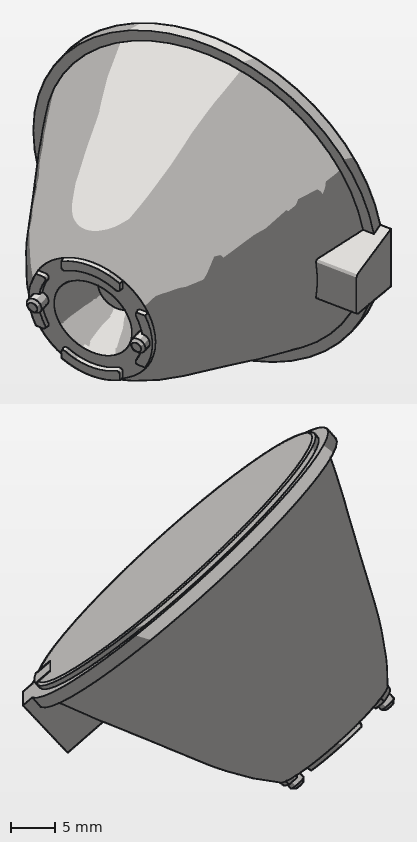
import cadquery as cq
import math


RIM_RADIUS = 22.5
RIM_THICKNESS = 1.5
EXIT_RADIUS = 21.1
EXIT_HEIGHT = 0.74
EXIT_CHAMFER_WIDTH = 0.35
EXIT_CHAMFER_HEIGHT = 0.19
EXIT_Y = RIM_THICKNESS + EXIT_HEIGHT

PAD_WIDTH = 6.0
PAD_LENGTH = 2.4
PAD_HEIGHT = 0.06

REFLECTOR_WALL = [(EXIT_RADIUS, 0.0), (18.3, 6.3), (15.3, 12.55), (12.3, 18.8), (8.2, 24.7)]
SEAT_RADIUS, REFLECTOR_LENGTH = REFLECTOR_WALL[-1]
SEAT_Y = -REFLECTOR_LENGTH

MOUTH_RADIUS = 5.1
COLLAR_RADIUS = 5.0
COLLAR_DEPTH = 0.5
WALL_TOP_RADIUS = 4.75
WALL_TOP_DEPTH = 1.0
WALL_END_RADIUS = 3.1
WALL_END_DEPTH = 4.4
WALL_BULGE = 0.15
WELL_RADIUS = 2.65
WELL_DEPTH = 5.2
LENS_RADIUS = 2.55
LENS_EDGE_DEPTH = 5.4
LENS_CREST_RADIUS = 1.35
LENS_CREST_HEIGHT = 0.6
LENS_DIMPLE_DEPTH = 0.2

FOOT_HEIGHT = 0.55
FOOT_LENGTH = 7.85
FOOT_INNER_RADIUS = 6.7
FOOT_CORNER_RADIUS = 0.45
FOOT_DRAFT = 10.0
FOOT_COUNT = 4

PIN_RADIUS = 0.98
PIN_OFFSET = 6.8
PIN_LENGTH = 1.9
PIN_CHAMFER = 0.35

TAB_END_X = 23.5
TAB_START_X = 14.0
TAB_WIDTH = 8.5
TAB_DEPTH = 7.65
TAB_DRAFT = 10.0
TAB_EDGE_RADIUS = 0.5


def lens_body():
    """Reflector, rim and raised exit face, turned as one profile."""
    wall = [(radius, -distance) for radius, distance in REFLECTOR_WALL]
    return (
        cq.Workplane("XY")
        .moveTo(0, SEAT_Y)
        .lineTo(SEAT_RADIUS, SEAT_Y)
        .spline(wall[-2::-1], includeCurrent=True)
        .lineTo(RIM_RADIUS, 0)
        .lineTo(RIM_RADIUS, RIM_THICKNESS)
        .lineTo(EXIT_RADIUS, RIM_THICKNESS)
        .lineTo(EXIT_RADIUS, EXIT_Y - EXIT_CHAMFER_HEIGHT)
        .lineTo(EXIT_RADIUS - EXIT_CHAMFER_WIDTH, EXIT_Y)
        .lineTo(0, EXIT_Y)
        .close()
        .revolve(360, (0, 0, 0), (0, 1, 0))
    )


def exit_pad():
    """Pad standing slightly above the exit face, with its outer end following the face's edge."""
    height = EXIT_HEIGHT + PAD_HEIGHT
    block = (
        cq.Workplane("XY")
        .box(PAD_LENGTH, height, PAD_WIDTH, centered=(False, False, True))
        .translate((EXIT_RADIUS - PAD_LENGTH, RIM_THICKNESS, 0))
    )
    outline = cq.Workplane("XZ", origin=(0, RIM_THICKNESS, 0)).circle(EXIT_RADIUS).extrude(-height)
    return block.intersect(outline)


def source_cavity():
    """Stepped mouth, curved side wall and the dimpled lens left standing at the bottom."""
    wall_mid = (
        (WALL_TOP_RADIUS + WALL_END_RADIUS) / 2 + WALL_BULGE,
        SEAT_Y + (WALL_TOP_DEPTH + WALL_END_DEPTH) / 2,
    )
    lens_edge_y = SEAT_Y + LENS_EDGE_DEPTH
    crest_y = lens_edge_y - LENS_CREST_HEIGHT
    crest = (LENS_CREST_RADIUS, crest_y)
    dimple = (0, crest_y + LENS_DIMPLE_DEPTH)
    inward_and_forward = (-1, -1)
    inward = (-1, 0)
    return (
        cq.Workplane("XY")
        .moveTo(0, SEAT_Y)
        .lineTo(MOUTH_RADIUS, SEAT_Y)
        .lineTo(COLLAR_RADIUS, SEAT_Y + COLLAR_DEPTH)
        .lineTo(WALL_TOP_RADIUS, SEAT_Y + WALL_TOP_DEPTH)
        .threePointArc(wall_mid, (WALL_END_RADIUS, SEAT_Y + WALL_END_DEPTH))
        .lineTo(WELL_RADIUS, SEAT_Y + WELL_DEPTH)
        .lineTo(LENS_RADIUS, lens_edge_y)
        .spline([crest, dimple], tangents=[inward_and_forward, inward], includeCurrent=True)
        .close()
        .revolve(360, (0, 0, 0), (0, 1, 0))
    )


def foot(angle):
    """Arc-shaped foot with drafted sides, parallel ends and rounded inner corners."""
    half_length = FOOT_LENGTH / 2
    inner_end_z = math.sqrt(FOOT_INNER_RADIUS**2 - half_length**2)
    outer_end_z = math.sqrt(SEAT_RADIUS**2 - half_length**2)
    outline = (
        cq.Sketch()
        .arc((-half_length, inner_end_z), (0, FOOT_INNER_RADIUS), (half_length, inner_end_z))
        .segment((half_length, outer_end_z))
        .arc((half_length, outer_end_z), (0, SEAT_RADIUS), (-half_length, outer_end_z))
        .close()
        .assemble()
        .vertices("<Y")
        .fillet(FOOT_CORNER_RADIUS)
    )
    return (
        cq.Workplane("XZ", origin=(0, SEAT_Y, 0))
        .placeSketch(outline)
        .extrude(FOOT_HEIGHT, taper=FOOT_DRAFT)
        .rotate((0, 0, 0), (0, 1, 0), angle)
    )


def pin(x):
    """Locating pin with a chamfered tip."""
    return (
        cq.Workplane("XZ", origin=(x, SEAT_Y, 0))
        .circle(PIN_RADIUS)
        .extrude(PIN_LENGTH)
        .faces("<Y")
        .chamfer(PIN_CHAMFER)
    )


def side_tab():
    """Tab on the +X side, tapering towards -Y, with its two front edges rounded."""
    back_half = TAB_WIDTH / 2
    front_half = back_half - TAB_DEPTH * math.tan(math.radians(TAB_DRAFT))
    front_y = RIM_THICKNESS - TAB_DEPTH
    return (
        cq.Workplane("ZY", origin=(TAB_END_X, 0, 0))
        .polyline([
            (-back_half, RIM_THICKNESS),
            (back_half, RIM_THICKNESS),
            (front_half, front_y),
            (-front_half, front_y),
        ])
        .close()
        .extrude(TAB_END_X - TAB_START_X)
        .faces("<Y")
        .edges("|X")
        .fillet(TAB_EDGE_RADIUS)
    )


result = lens_body().union(exit_pad()).union(side_tab()).cut(source_cavity())
for foot_index in range(FOOT_COUNT):
    result = result.union(foot(foot_index * 360 / FOOT_COUNT))
for pin_x in (-PIN_OFFSET, PIN_OFFSET):
    result = result.union(pin(pin_x))